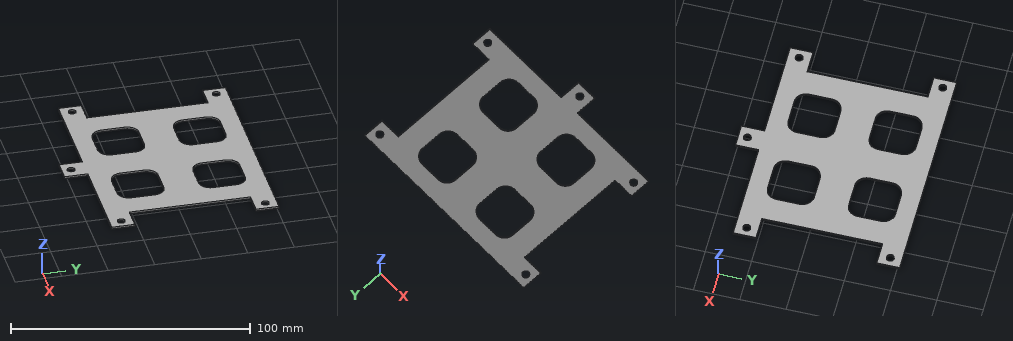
import cadquery as cq

overall_width = 97.0
overall_depth = 82.0
thickness = 1.0
tab_size = 10.0
plate_depth = overall_depth - tab_size
body_width = overall_width - 2 * tab_size

hole_diameter = 3.2
hole_tip_inset = 4.0
hole_side_inset = tab_size / 2

window_size = 20.0
window_radius = 5.0
window_pitch = 35.0

plate_back = overall_depth / 2
plate_front = plate_back - plate_depth
plate_middle = (plate_back + plate_front) / 2
tongue_tip = -overall_depth / 2


def block(width, depth, x, y):
    """Flat rectangular block centred at (x, y)."""
    return cq.Workplane("XY").box(width, depth, thickness).translate((x, y, 0))


def make_outline():
    """Body with a full-width strip at each end and a tongue at the front."""
    body = block(body_width, plate_depth, 0, plate_middle)
    for strip_y in (plate_back - tab_size / 2, plate_front + tab_size / 2):
        body = body.union(block(overall_width, tab_size, 0, strip_y))
    return body.union(block(tab_size, tab_size, 0, tongue_tip + tab_size / 2))


def make_windows():
    """Two by two grid of rounded square cutters."""
    return (
        cq.Workplane("XY")
        .center(0, plate_middle)
        .rarray(window_pitch, window_pitch, 2, 2)
        .rect(window_size, window_size)
        .extrude(thickness, both=True)
        .edges("|Z")
        .fillet(window_radius)
    )


def make_holes():
    """Cutters for one hole in each corner tab and one in the tongue."""
    hole_x = overall_width / 2 - hole_tip_inset
    hole_points = [(0, tongue_tip + hole_tip_inset)]
    for x in (-hole_x, hole_x):
        for y in (plate_front + hole_side_inset, plate_back - hole_side_inset):
            hole_points.append((x, y))
    return (
        cq.Workplane("XY")
        .pushPoints(hole_points)
        .circle(hole_diameter / 2)
        .extrude(thickness, both=True)
    )


result = make_outline().cut(make_windows()).cut(make_holes())